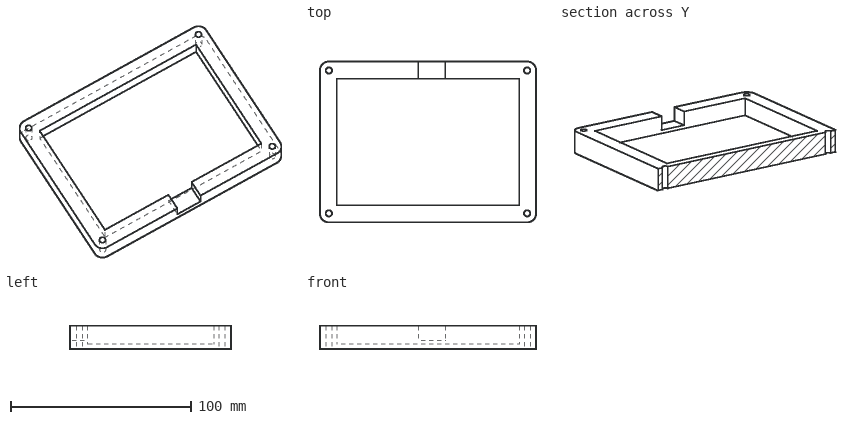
import cadquery as cq

length = 120.0
width = 89.3
height = 13.0
corner_radius = 5.0

pocket_length = 101.3
pocket_width = 70.1
floor_thickness = 3.0
pocket_depth = height - floor_thickness

notch_width = 15.0
notch_depth = 8.0
notch_center_x = 2.0

hole_diameter = 3.4
hole_spacing_x = length - 2 * corner_radius
hole_spacing_y = width - 2 * corner_radius


def make_block():
    block = cq.Workplane("XY").box(length, width, height, centered=(True, True, False))
    return block.edges("|Z").fillet(corner_radius)


def make_pocket():
    pocket = cq.Workplane("XY").box(pocket_length, pocket_width, pocket_depth, centered=(True, True, False))
    return pocket.translate((0, 0, floor_thickness))


def make_notch():
    notch = cq.Workplane("XY").box(notch_width, width / 2, notch_depth, centered=(True, False, False))
    return notch.translate((notch_center_x, 0, height - notch_depth))


def make_corner_holes():
    return (
        cq.Workplane("XY")
        .rect(hole_spacing_x, hole_spacing_y, forConstruction=True)
        .vertices()
        .circle(hole_diameter / 2)
        .extrude(height)
    )


result = make_block().cut(make_pocket()).cut(make_notch()).cut(make_corner_holes())